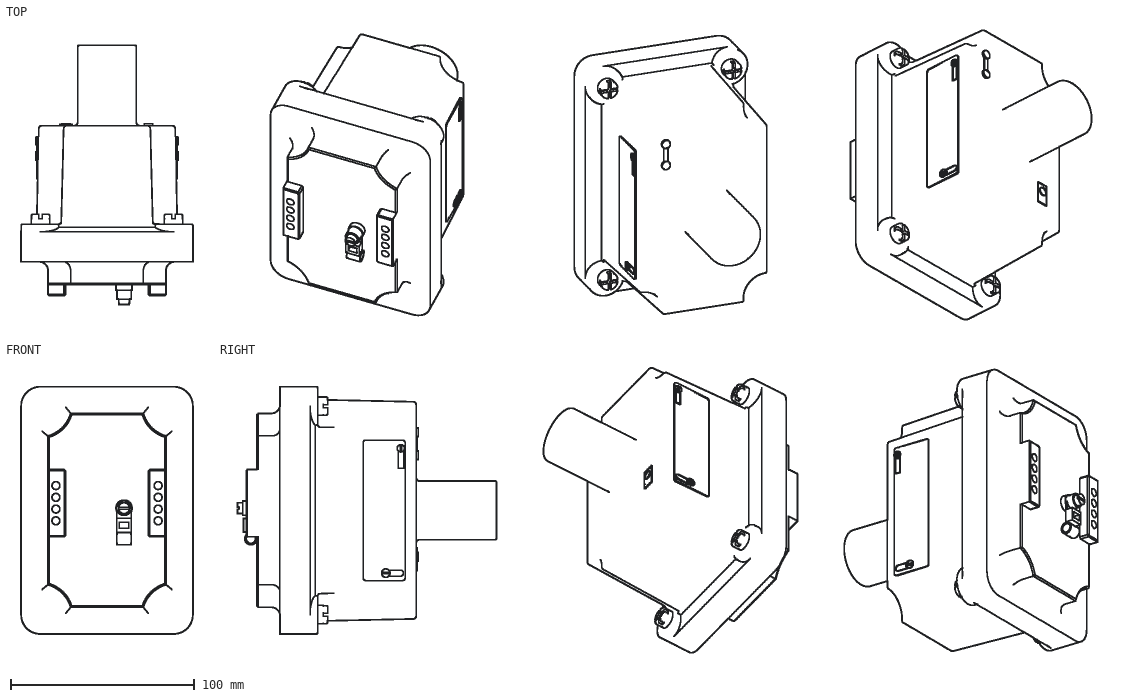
import cadquery as cq
import math


pick_margin = 1.0

flange_width = 93.73
flange_height = 134.87
corner_radius = 10.6
flange_edge_y = 16.4
flange_slope_top_y = 19.2
slope_run = 8.2
lobe_y = 20.6
lobe_edge_fillet = 0.9
corner_x = flange_width / 2 - corner_radius
corner_z = flange_height / 2 - corner_radius

box_back_y = 74.3
box_back_width = 74.4
box_back_height = 118.4
draft = 1.25
notch_back_radius = 12.7
notch_foot_radius = 1.4
box_corner_fillet = 0.9
box_back_fillet = 1.8

shaft_radius = 16.05
shaft_end_y = 118.1
shaft_end_fillet = 1.0
shaft_foot_fillet = 1.8

screw_head_radius = 5.05
screw_head_y = 26.0
screw_slot_width = 1.7
screw_slot_depth = 2.4
screw_edge_fillet = 0.9

panel_width = 64.4
panel_height = 105.8
panel_depth = 12.55
panel_foot_fillet = 4.7
panel_edge_chamfer = 0.8
panel_notch_x = panel_width / 2 + panel_foot_fillet
panel_notch_z = panel_height / 2 + panel_foot_fillet
panel_notch_radius = 17.7

block_width = 9.6
block_depth = 5.8
block_height = 36.8
block_center_z = 3.9
block_corner_chamfer = 0.9
block_face_chamfer = 0.6
hole_count = 4
hole_pitch = 6.4
hole_diameter = 4.3
hole_depth = 5.0
hole_x = 27.85

plate_rear_y = 68.2
plate_front_y = 45.3
plate_height = 76.5
plate_corner_radius = 1.4
plate_face_x = 38.3
plate_root_x = 36.0
plate_slot_depth = 0.5
plate_screw_face_x = 38.9
plate_screw_slot_width = 0.8
upper_screw_y = 65.9
upper_screw_z = 33.8
upper_screw_radius = 2.0
upper_slot_width = 3.0
upper_slot_end_z = 23.0
lower_screw_y = 57.7
lower_screw_z = -34.2
lower_screw_radius = 2.3
lower_slot_width = 3.4
lower_slot_end_y = 67.3

clamp_screw_radius = 2.4
clamp_screw_height = 1.1
clamp_bar_height = 0.6
upper_clamp_x = 22.6
upper_clamp_bottom_z = 30.0
upper_clamp_top_z = 42.5
lower_clamp_x = -22.3
lower_clamp_screw_z = -25.2
lower_clamp_center_z = -26.6
lower_clamp_length = 12.4
lower_clamp_width = 6.7

post_x = 9.27
post_z = 1.2
washer_radius = 4.4
washer_height = 2.85
post_radius = 3.95
post_height = 7.75
tip_radius = 3.0
tip_slot_width = 1.0
tip_slot_depth = 0.8
total_depth = 141.35
strip_width = 7.7
strip_thickness = 1.0
clip_block_face = 7.35
clip_block_top_z = -4.35
clip_block_bottom_z = -11.8
window_width = 5.2
window_height = 3.4
loop_radius = 3.3
loop_wall = 0.8
loop_center_z = -15.5


def rear_plane(y):
    """Workplane facing +Y at depth y, with local x along X and local y along -Z."""
    return cq.Workplane(cq.Plane(origin=(0, y, 0), xDir=(1, 0, 0), normal=(0, 1, 0)))


def front_plane(y):
    """Workplane facing -Y at depth y, with local x and y along X and Z."""
    return cq.Workplane("XZ", origin=(0, y, 0))


def block_between(x0, x1, y0, y1, z0, z1):
    return cq.Workplane("XY").box(x1 - x0, y1 - y0, z1 - z0, centered=False).translate((x0, y0, z0))


def corners(x, z):
    return [(sx * x, sz * z) for sx in (-1, 1) for sz in (-1, 1)]


def flange():
    """Cross-shaped plate with a sloped rear face, its corners filled by taller round lobes."""
    slab = rear_plane(0).rect(flange_width, flange_height).extrude(flange_edge_y)
    slope_height = flange_slope_top_y - flange_edge_y
    slope_angle = math.degrees(math.atan2(slope_run, slope_height))
    slope = rear_plane(flange_edge_y).rect(flange_width, flange_height)
    slope = slope.extrude(slope_height, taper=slope_angle)
    corner_squares = rear_plane(0).pushPoints(corners(flange_width / 2, flange_height / 2))
    corner_squares = corner_squares.rect(2 * corner_radius, 2 * corner_radius).extrude(flange_slope_top_y)
    plate = slab.union(slope).cut(corner_squares)
    lobes = rear_plane(0).pushPoints(corners(corner_x, corner_z)).circle(corner_radius).extrude(lobe_y)
    lobes = lobes.faces(">Y").edges().fillet(lobe_edge_fillet)
    return plate.union(lobes)


def corner_notch_cutter(x, z):
    """Drafted round cutter, coaxial with a corner lobe, with a rounded foot."""
    length = box_back_y - lobe_y
    foot_radius = notch_back_radius - length * math.tan(math.radians(draft))
    bend = notch_foot_radius * math.sin(math.pi / 4)
    profile = (
        cq.Workplane("XY")
        .moveTo(0, lobe_y)
        .lineTo(foot_radius - notch_foot_radius, lobe_y)
        .threePointArc(
            (foot_radius - notch_foot_radius + bend, lobe_y + notch_foot_radius - bend),
            (foot_radius, lobe_y + notch_foot_radius),
        )
        .lineTo(notch_back_radius, box_back_y)
        .lineTo(0, box_back_y)
        .close()
    )
    return profile.revolve(360, (0, 0, 0), (0, 1, 0)).translate((x, 0, z))


def rear_box():
    growth = 2 * box_back_y * math.tan(math.radians(draft))
    box = rear_plane(0).rect(box_back_width + growth, box_back_height + growth)
    box = box.extrude(box_back_y, taper=draft)
    for x, z in corners(corner_x, corner_z):
        box = box.cut(corner_notch_cutter(x, z))
    side_edges = cq.selectors.BoxSelector(
        (-flange_width, lobe_y + notch_foot_radius, -flange_height),
        (flange_width, box_back_y - pick_margin, flange_height),
    )
    box = box.edges(side_edges).edges("not #Y").fillet(box_corner_fillet)
    return box.faces(">Y").edges().fillet(box_back_fillet)


def shaft():
    body = rear_plane(flange_edge_y).circle(shaft_radius).extrude(shaft_end_y - flange_edge_y)
    return body.faces(">Y").edges().fillet(shaft_end_fillet)


def corner_screws():
    heads = rear_plane(flange_edge_y).pushPoints(corners(corner_x, corner_z)).circle(screw_head_radius)
    heads = heads.extrude(screw_head_y - flange_edge_y).faces(">Y").edges().fillet(screw_edge_fillet)
    slots = rear_plane(screw_head_y - screw_slot_depth).pushPoints(corners(corner_x, corner_z))
    across = slots.rect(2 * screw_head_radius, screw_slot_width).extrude(screw_slot_depth)
    upright = slots.rect(screw_slot_width, 2 * screw_head_radius).extrude(screw_slot_depth)
    return heads.cut(across).cut(upright)


def front_panel():
    panel = front_plane(0).rect(panel_width, panel_height).extrude(panel_depth)
    notches = front_plane(0).pushPoints(corners(panel_notch_x, panel_notch_z))
    panel = panel.cut(notches.circle(panel_notch_radius).extrude(panel_depth))
    return panel.faces("<Y").edges().chamfer(panel_edge_chamfer)


def terminal_block(side):
    depth = block_depth + 2 * panel_edge_chamfer
    face_y = -panel_depth - block_depth
    center_x = side * (panel_width - block_width) / 2
    block = front_plane(face_y + depth).center(center_x, block_center_z).rect(block_width, block_height)
    inner_face = "<X" if side > 0 else ">X"
    block = block.extrude(depth).faces(inner_face).edges("|Y").chamfer(block_corner_chamfer)
    block = block.faces("<Y").edges().chamfer(block_face_chamfer)
    holes = front_plane(face_y + hole_depth).center(side * hole_x, block_center_z)
    holes = holes.rarray(1, hole_pitch, 1, hole_count).circle(hole_diameter / 2).extrude(hole_depth)
    return block.cut(holes)


def side_plate(side):
    """Label plate with two slots, each with a slotted screw at one end."""
    def x_cylinder(y, z, radius, x0, x1):
        return cq.Workplane("YZ", origin=(x0, y, z)).circle(radius).extrude(x1 - x0)

    plate = block_between(
        plate_root_x, plate_face_x, plate_front_y, plate_rear_y, -plate_height / 2, plate_height / 2
    ).edges("|X").fillet(plate_corner_radius)
    floor_x = plate_face_x - plate_slot_depth
    upper_slot = block_between(
        floor_x, plate_face_x,
        upper_screw_y - upper_slot_width / 2, upper_screw_y + upper_slot_width / 2,
        upper_slot_end_z, upper_screw_z,
    )
    lower_slot_round_y = lower_slot_end_y - lower_slot_width / 2
    lower_slot = block_between(
        floor_x, plate_face_x,
        lower_screw_y, lower_slot_round_y,
        lower_screw_z - lower_slot_width / 2, lower_screw_z + lower_slot_width / 2,
    ).union(x_cylinder(lower_slot_round_y, lower_screw_z, lower_slot_width / 2, floor_x, plate_face_x))
    upper_screw = x_cylinder(
        upper_screw_y, upper_screw_z, upper_screw_radius, plate_root_x, plate_screw_face_x
    )
    lower_screw = x_cylinder(
        lower_screw_y, lower_screw_z, lower_screw_radius, plate_root_x, plate_screw_face_x
    )
    half_slot = plate_screw_slot_width / 2
    upper_groove = block_between(
        plate_face_x, plate_screw_face_x,
        upper_screw_y - half_slot, upper_screw_y + half_slot,
        upper_screw_z - upper_screw_radius, upper_screw_z + upper_screw_radius,
    )
    lower_groove = block_between(
        plate_face_x, plate_screw_face_x,
        lower_screw_y - lower_screw_radius, lower_screw_y + lower_screw_radius,
        lower_screw_z - half_slot, lower_screw_z + half_slot,
    )
    plate = plate.cut(upper_slot).cut(lower_slot)
    plate = plate.union(upper_screw.cut(upper_groove)).union(lower_screw.cut(lower_groove))
    return plate if side > 0 else plate.mirror("YZ")


def rear_clamps():
    base_y = box_back_y - box_back_fillet
    screw_top = box_back_y + clamp_screw_height - base_y
    bar_top = box_back_y + clamp_bar_height - base_y
    screw_places = [
        (upper_clamp_x, -upper_clamp_top_z),
        (upper_clamp_x, -upper_clamp_bottom_z),
        (lower_clamp_x, -lower_clamp_screw_z),
    ]
    screws = rear_plane(base_y).pushPoints(screw_places).circle(clamp_screw_radius).extrude(screw_top)
    upper_bar = rear_plane(base_y).center(upper_clamp_x, -(upper_clamp_top_z + upper_clamp_bottom_z) / 2)
    upper_bar = upper_bar.rect(clamp_screw_radius, upper_clamp_top_z - upper_clamp_bottom_z).extrude(bar_top)
    lower_bar = rear_plane(base_y).center(lower_clamp_x, -lower_clamp_center_z)
    lower_bar = lower_bar.rect(lower_clamp_width, lower_clamp_length).extrude(bar_top)
    return screws.union(upper_bar).union(lower_bar)


def make_housing():
    body = flange().union(front_panel())
    foot_edges = cq.selectors.BoxSelector(
        (-panel_notch_x, -pick_margin, -panel_notch_z), (panel_notch_x, pick_margin, panel_notch_z)
    )
    body = body.edges(foot_edges).fillet(panel_foot_fillet)
    rear = rear_box().union(shaft())
    shaft_foot = cq.selectors.BoxSelector(
        (-pick_margin, box_back_y - pick_margin, -pick_margin),
        (pick_margin, box_back_y + pick_margin, pick_margin),
    )
    rear = rear.edges("%CIRCLE").edges(shaft_foot).fillet(shaft_foot_fillet)
    body = body.union(rear).union(corner_screws()).union(rear_clamps())
    for side in (-1, 1):
        body = body.union(terminal_block(side)).union(side_plate(side))
    return body


def make_terminal_clip():
    """Slotted post on a washer, holding a strip with a windowed block and a loop at its end."""
    def disc(start, end, radius):
        return front_plane(-panel_depth - start).center(post_x, post_z).circle(radius).extrude(end - start)

    tip_height = total_depth - shaft_end_y - panel_depth
    post = disc(0, washer_height, washer_radius)
    post = post.union(disc(0, post_height, post_radius)).union(disc(0, tip_height, tip_radius))
    tip_y = -panel_depth - tip_height
    post = post.cut(block_between(
        post_x - tip_radius, post_x + tip_radius,
        tip_y, tip_y + tip_slot_depth,
        post_z - tip_slot_width / 2, post_z + tip_slot_width / 2,
    ))

    left_x = post_x - strip_width / 2
    right_x = post_x + strip_width / 2
    strip_back_y = -panel_depth - washer_height
    strip_face_y = strip_back_y - strip_thickness
    strip = block_between(left_x, right_x, strip_face_y, strip_back_y, clip_block_bottom_z, post_z)
    block_face_y = -panel_depth - clip_block_face
    block = block_between(left_x, right_x, block_face_y, strip_back_y, clip_block_bottom_z, clip_block_top_z)
    window_z = (clip_block_bottom_z + clip_block_top_z) / 2
    block = block.cut(block_between(
        post_x - window_width / 2, post_x + window_width / 2,
        block_face_y, strip_face_y,
        window_z - window_height / 2, window_z + window_height / 2,
    ))
    strip = strip.cut(block).union(block)
    loop = cq.Workplane("YZ", origin=(left_x, -panel_depth - loop_radius, loop_center_z))
    loop = loop.circle(loop_radius).circle(loop_radius - loop_wall).extrude(strip_width)
    neck = block_between(
        left_x, right_x, strip_face_y, strip_back_y,
        loop_center_z + loop_radius - loop_wall, clip_block_bottom_z,
    )
    return post.union(strip).union(neck).union(loop)


housing = make_housing()
terminal_clip = make_terminal_clip()
result = cq.Compound.makeCompound([housing.val(), terminal_clip.val()])